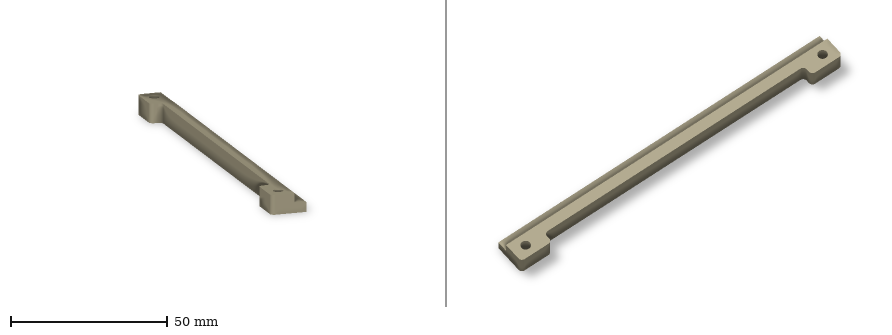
import cadquery as cq

length = 130.0
width = 12.0
height = 6.5

ledge_width = 4.0
ledge_height = height / 2

foot_length = 12.5
notch_depth = 4.0
corner_radius = 1.4

hole_diameter = 3.4
hole_end_distance = 5.0
hole_front_distance = 4.0


def make_bar():
    """Full-length block, centred in X and Y, resting on Z = 0."""
    return cq.Workplane("XY").box(length, width, height, centered=(True, True, False))


def cut_notch(bar):
    """Notch the front face between the feet and round all vertical corners but the back two."""
    notch = (
        cq.Workplane("XY")
        .box(length - 2 * foot_length, 2 * notch_depth, height, centered=(True, True, False))
        .translate((0, -width / 2, 0))
    )
    return bar.cut(notch).edges("|Z exc >Y").fillet(corner_radius)


def cut_ledge(bar):
    """Lower the back edge to a ledge along the whole length."""
    step = (
        cq.Workplane("XY")
        .box(length, ledge_width, height - ledge_height, centered=(True, False, False))
        .translate((0, width / 2 - ledge_width, ledge_height))
    )
    return bar.cut(step)


def drill_holes(bar):
    """Drill one vertical through hole in each foot."""
    hole_x = length / 2 - hole_end_distance
    hole_y = -width / 2 + hole_front_distance
    holes = (
        cq.Workplane("XY")
        .pushPoints([(side * hole_x, hole_y) for side in (-1, 1)])
        .circle(hole_diameter / 2)
        .extrude(height)
    )
    return bar.cut(holes)


result = drill_holes(cut_ledge(cut_notch(make_bar())))